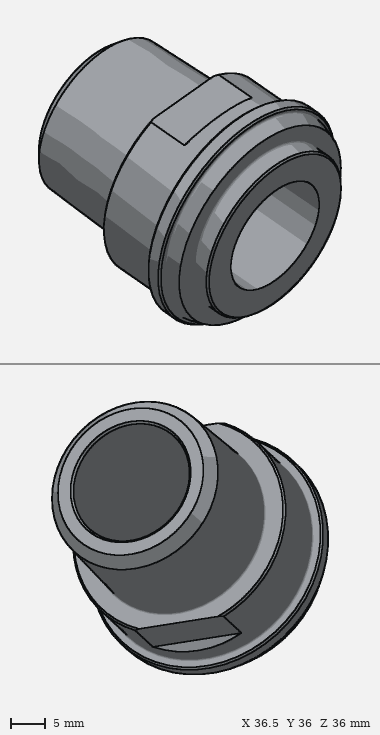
import cadquery as cq
import math

total_length = 36.5
body_start = 18.0
flange_start = 28.47
flange_end = 31.0
collar_end = 33.47

bore_radius = 18.0 / 2
nose_tip_radius = 12.9
nose_root_radius = 13.4
body_radius = 33.0 / 2
flange_radius = 36.0 / 2
collar_start_radius = 17.15
collar_end_radius = 16.5
neck_radius = 27.5 / 2

nose_chamfer = 1.6
bore_chamfer = 0.33
edge_chamfer = 0.3
corner_fillet = 0.35
neck_fillet = 0.5

flat_height = 15.0
flat_end = 25.0
flat_end_lean = 15.0


def concave_arc(profile, center, radius, start_angle, end_angle):
    """Draw an arc about center from the current point."""
    def on_arc(degrees):
        angle = math.radians(degrees)
        return (center[0] + radius * math.cos(angle), center[1] + radius * math.sin(angle))

    return profile.threePointArc(on_arc((start_angle + end_angle) / 2), on_arc(end_angle))


def turned_blank():
    """Solid of revolution about X, with all outer steps, chamfers and fillets."""
    profile = (
        cq.Workplane("XY")
        .lineTo(0, nose_tip_radius - nose_chamfer)
        .lineTo(nose_chamfer, nose_tip_radius)
        .lineTo(body_start - corner_fillet, nose_root_radius)
    )
    nose_center = (body_start - corner_fillet, nose_root_radius + corner_fillet)
    profile = concave_arc(profile, nose_center, corner_fillet, -90, 0)
    profile = (
        profile.lineTo(body_start, body_radius - edge_chamfer)
        .lineTo(body_start + edge_chamfer, body_radius)
        .lineTo(flange_start - corner_fillet, body_radius)
    )
    body_center = (flange_start - corner_fillet, body_radius + corner_fillet)
    profile = concave_arc(profile, body_center, corner_fillet, -90, 0)
    profile = (
        profile.lineTo(flange_start, flange_radius - edge_chamfer)
        .lineTo(flange_start + edge_chamfer, flange_radius)
        .lineTo(flange_end - edge_chamfer, flange_radius)
        .lineTo(flange_end, flange_radius - edge_chamfer)
    )
    collar_center = (flange_end + corner_fillet, collar_start_radius + corner_fillet)
    profile = profile.lineTo(flange_end, collar_center[1])
    profile = concave_arc(profile, collar_center, corner_fillet, 180, 270)
    profile = profile.lineTo(collar_end, collar_end_radius)
    neck_center = (collar_end + neck_fillet, neck_radius + neck_fillet)
    profile = profile.lineTo(collar_end, neck_center[1])
    profile = concave_arc(profile, neck_center, neck_fillet, 180, 270)
    profile = (
        profile.lineTo(total_length - edge_chamfer, neck_radius)
        .lineTo(total_length, neck_radius - edge_chamfer)
        .lineTo(total_length, 0)
        .close()
    )
    return profile.revolve(360, (0, 0, 0), (1, 0, 0))


def bore():
    """Through hole, chamfered where it opens at the nose."""
    return (
        cq.Workplane("XY")
        .lineTo(0, bore_radius + bore_chamfer)
        .lineTo(bore_chamfer, bore_radius)
        .lineTo(total_length, bore_radius)
        .lineTo(total_length, 0)
        .close()
        .revolve(360, (0, 0, 0), (1, 0, 0))
    )


def upper_flat_cutter():
    """Wedge-ended block that removes the body above the upper flat."""
    cut_depth = flange_radius - flat_height
    lean_offset = cut_depth * math.tan(math.radians(flat_end_lean))
    return (
        cq.Workplane("XZ")
        .moveTo(body_start, flat_height)
        .lineTo(flat_end, flat_height)
        .lineTo(flat_end + lean_offset, flange_radius)
        .lineTo(body_start, flange_radius)
        .close()
        .extrude(flange_radius, both=True)
    )


upper_flat = upper_flat_cutter()
lower_flat = upper_flat.mirror("XY")
result = turned_blank().cut(bore()).cut(upper_flat).cut(lower_flat)